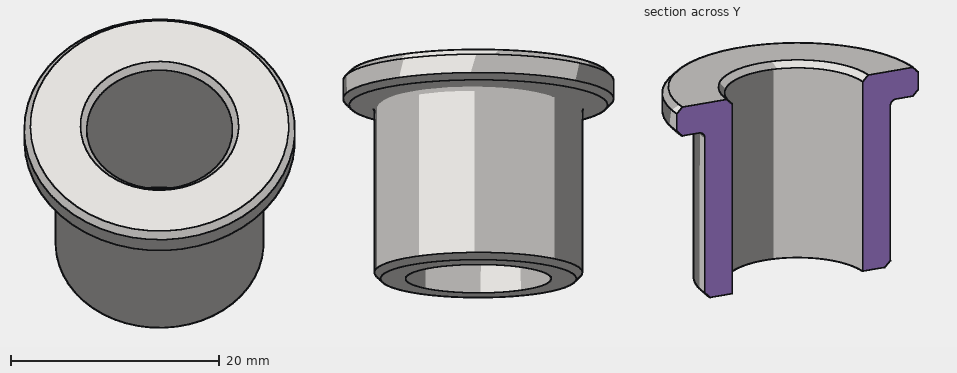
import cadquery as cq

flange_diameter = 26.0
flange_thickness = 3.0
body_diameter = 20.0
bore_diameter = 14.0
total_height = 20.0
edge_chamfer = 0.6
neck_fillet = 0.6

flange_underside = total_height - flange_thickness

body = (
    cq.Workplane("XY")
    .circle(body_diameter / 2)
    .extrude(total_height)
    .faces("<Z")
    .edges()
    .chamfer(edge_chamfer)
)

flange = (
    cq.Workplane("XY")
    .workplane(offset=flange_underside)
    .circle(flange_diameter / 2)
    .extrude(flange_thickness)
    .edges("%CIRCLE")
    .chamfer(edge_chamfer)
)

body_radius = body_diameter / 2
neck_ring = (
    cq.Workplane("XZ")
    .moveTo(body_radius, flange_underside - neck_fillet)
    .radiusArc((body_radius + neck_fillet, flange_underside), neck_fillet)
    .lineTo(body_radius, flange_underside)
    .close()
    .revolve(360, (0, 0, 0), (0, 1, 0))
)

bore = cq.Workplane("XY").circle(bore_diameter / 2).extrude(total_height)
bore_mouth = (
    cq.Workplane("XY")
    .workplane(offset=total_height)
    .circle(bore_diameter / 2 + edge_chamfer)
    .workplane(offset=-edge_chamfer)
    .circle(bore_diameter / 2)
    .loft(ruled=True)
)

result = body.union(flange).union(neck_ring).cut(bore).cut(bore_mouth)